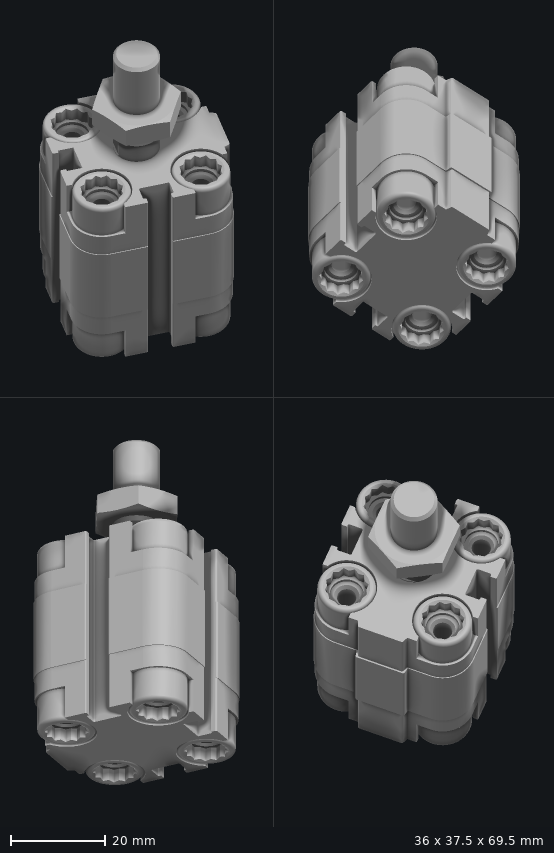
import cadquery as cq
import math

total_height = 69.5
housing_height = 43.0

barrel_half_width = 18.0
cap_inset = 0.2
cap_half_width = barrel_half_width - cap_inset
cap_height = 12.5
screw_spacing = 21.95
screw_offset = screw_spacing / 2

barrel_rib_top = 19.5
barrel_rib_half_width = 5.85
barrel_rib_taper = 0.3
cap_rib_top = 19.2
cap_rib_half_width = 5.6
cap_rib_taper = 0.55
rib_edge_radius = 0.4
rib_root_radius = 0.2

side_slot_mouth_half_width = 2.7
side_slot_half_width = 3.4
front_slot_mouth_half_width = 2.7
front_slot_half_width = 3.35
slot_lip_inner = 16.4
slot_floor = 13.0
side_slot_corner_radius = 0.35
side_mouth_radius = 0.3
front_mouth_radius = 0.4

recess_depth = 7.5
recess_diameter = 13.0
recess_inner_edge = 7.8
screw_diameter = 12.5
screw_edge_radius = 1.0
screw_hole_diameter = 4.1
screw_countersink_diameter = 5.4
socket_flats = 8.1
socket_depth = 3.2
socket_mouth_diameter = 10.0
socket_mouth_angle = 30.0
socket_bore_diameter = 7.2
socket_bore_depth = 3.95

rod_diameter = 10.0
rod_chamfer = 0.7
neck_diameter = 8.5
neck_bottom = 47.5
neck_top = 49.35
wrench_flats = 9.05
wrench_flats_bottom = 43.2

nut_bottom = 51.35
nut_thickness = 5.15
nut_flats = 17.0
nut_face_diameter = 16.7
nut_corner_drop = 0.4


def hexagon_corner_diameter(across_flats):
    return across_flats / math.cos(math.pi / 6)


def revolved(profile):
    """Solid of revolution about Z from (radius, z) points; the axis closes the outline."""
    return cq.Workplane("XZ").polyline(profile).close().revolve(360, (0, 0), (0, 1))


def corner_positions():
    return [(x, y) for x in (-screw_offset, screw_offset) for y in (-screw_offset, screw_offset)]


def rib(half_width, taper, root, top, height):
    """Rib from the housing centre to y = top, tapered beyond y = root, with rounded outer edges."""
    tip_half_width = half_width - taper
    return (
        cq.Workplane("XY")
        .polyline([
            (-half_width, 0), (half_width, 0), (half_width, root),
            (tip_half_width, top), (-tip_half_width, top), (-half_width, root),
        ])
        .close()
        .extrude(height)
        .edges("|Z and >Y").fillet(rib_edge_radius)
    )


def t_slot(angle, mouth_half_width, half_width, corner_radius):
    """Cutter for one T-slot over the full height; at angle 0 it opens towards +X."""
    depth = slot_lip_inner - slot_floor
    chamber = cq.Workplane("XY").rect(depth, 2 * half_width).extrude(housing_height)
    if corner_radius > 0:
        chamber = chamber.edges("|Z").fillet(corner_radius)
    chamber = chamber.translate(((slot_floor + slot_lip_inner) / 2, 0, 0))
    mouth_length = barrel_half_width - slot_floor
    mouth = (
        cq.Workplane("XY")
        .center(slot_floor + mouth_length / 2, 0)
        .rect(mouth_length, 2 * mouth_half_width)
        .extrude(housing_height)
    )
    return chamber.union(mouth).rotate((0, 0, 0), (0, 0, 1), angle)


def rounded_edge(body, x, y, radius):
    """Round the upright edge that stands at (x, y)."""
    reach = 0.1
    box = cq.selectors.BoxSelector((x - reach, y - reach, 0), (x + reach, y + reach, housing_height))
    return body.edges("|Z").edges(box).fillet(radius)


def housing_section(half_width, rib_half_width, rib_taper, rib_top, height):
    """One length of the housing profile with its rib and its three T-slots."""
    body = (
        cq.Workplane("XY")
        .rect(2 * half_width, 2 * half_width)
        .extrude(height)
        .edges("|Z").fillet(half_width - screw_offset)
        .union(rib(rib_half_width, rib_taper, half_width, rib_top, height))
    )
    for angle in (0, 180):
        body = body.cut(
            t_slot(angle, side_slot_mouth_half_width, side_slot_half_width, side_slot_corner_radius)
        )
    body = body.cut(t_slot(-90, front_slot_mouth_half_width, front_slot_half_width, 0))
    for side in (-1, 1):
        for end in (-1, 1):
            body = rounded_edge(body, side * half_width, end * side_slot_mouth_half_width, side_mouth_radius)
        body = rounded_edge(body, side * front_slot_mouth_half_width, -half_width, front_mouth_radius)
        body = rounded_edge(body, side * rib_half_width, half_width, rib_root_radius)
    return body


def screw_recess():
    """Cutter at the top of the +X +Y corner: a round pocket opened out to both sides."""
    bottom = housing_height - recess_depth
    corner_size = barrel_half_width - recess_inner_edge
    corner_middle = recess_inner_edge + corner_size / 2
    pocket = (
        cq.Workplane("XY", origin=(screw_offset, screw_offset, bottom))
        .circle(recess_diameter / 2)
        .extrude(recess_depth)
    )
    corner = (
        cq.Workplane("XY", origin=(corner_middle, corner_middle, bottom))
        .rect(corner_size, corner_size)
        .extrude(recess_depth)
    )
    return pocket.union(corner)


def screw_socket():
    """Cutter for the twelve-point socket, its conical mouth and the stepped bore under it."""
    top = housing_height
    mouth_radius = socket_mouth_diameter / 2
    bore_radius = socket_bore_diameter / 2
    countersink_radius = screw_countersink_diameter / 2
    hole_radius = screw_hole_diameter / 2
    bore_bottom = top - socket_bore_depth
    mouth_tip = top - mouth_radius * math.tan(math.radians(socket_mouth_angle))
    mouth = revolved([(0, top), (mouth_radius, top), (0, mouth_tip)])
    bore = revolved([
        (0, top), (bore_radius, top), (bore_radius, bore_bottom), (countersink_radius, bore_bottom),
        (hole_radius, bore_bottom - countersink_radius + hole_radius),
        (hole_radius, housing_height / 2), (0, housing_height / 2),
    ])
    socket = mouth.union(bore)
    for angle in (0, 30):
        hexagon = (
            cq.Workplane("XY", origin=(0, 0, top - socket_depth))
            .polygon(6, hexagon_corner_diameter(socket_flats))
            .extrude(socket_depth)
            .rotate((0, 0, 0), (0, 0, 1), angle)
        )
        socket = socket.union(hexagon)
    return socket


def screw_head():
    return (
        cq.Workplane("XY", origin=(0, 0, housing_height - recess_depth))
        .circle(screw_diameter / 2)
        .extrude(recess_depth)
        .faces(">Z").edges().fillet(screw_edge_radius)
    )


def with_both_ends(cutter):
    """The shape together with its mirror image at the other end of the housing."""
    return cutter.union(cutter.mirror("XY", (0, 0, housing_height / 2)))


def make_housing():
    barrel_height = housing_height - 2 * cap_height
    cap = housing_section(cap_half_width, cap_rib_half_width, cap_rib_taper, cap_rib_top, cap_height)
    barrel = housing_section(
        barrel_half_width, barrel_rib_half_width, barrel_rib_taper, barrel_rib_top, barrel_height
    )
    body = (
        cap
        .union(barrel.translate((0, 0, cap_height)))
        .union(cap.translate((0, 0, cap_height + barrel_height)))
    )
    recesses = with_both_ends(screw_recess())
    heads = with_both_ends(screw_head())
    sockets = with_both_ends(screw_socket())
    for quarter in range(4):
        body = body.cut(recesses.rotate((0, 0, 0), (0, 0, 1), 90 * quarter))
    for x, y in corner_positions():
        body = body.union(heads.translate((x, y, 0)))
        body = body.cut(sockets.translate((x, y, 0)))
    return body


def make_rod():
    radius = rod_diameter / 2
    neck_radius = neck_diameter / 2
    body = revolved([
        (0, housing_height), (radius, housing_height), (radius, neck_bottom), (neck_radius, neck_bottom),
        (neck_radius, neck_top), (radius, neck_top + radius - neck_radius),
        (radius, total_height - rod_chamfer), (radius - rod_chamfer, total_height), (0, total_height),
    ])
    flat_cut = (rod_diameter - wrench_flats) / 2
    flat_height = neck_bottom - wrench_flats_bottom
    for side in (-1, 1):
        flat = cq.Workplane("XY").box(rod_diameter, flat_cut, flat_height, centered=(True, True, False))
        flat_middle = side * (wrench_flats + flat_cut) / 2
        body = body.cut(flat.translate((0, flat_middle, wrench_flats_bottom)))
    return body


def make_nut():
    corner_radius = hexagon_corner_diameter(nut_flats) / 2
    face_radius = nut_face_diameter / 2
    nut_top = nut_bottom + nut_thickness
    envelope = revolved([
        (0, nut_bottom), (face_radius, nut_bottom), (corner_radius, nut_bottom + nut_corner_drop),
        (corner_radius, nut_top - nut_corner_drop), (face_radius, nut_top), (0, nut_top),
    ])
    return (
        cq.Workplane("XY", origin=(0, 0, nut_bottom))
        .polygon(6, 2 * corner_radius)
        .extrude(nut_thickness)
        .rotate((0, 0, 0), (0, 0, 1), 30)
        .intersect(envelope)
        .cut(cq.Workplane("XY").circle(rod_diameter / 2).extrude(total_height))
    )


housing = make_housing()
rod = make_rod()
nut = make_nut()

result = cq.Compound.makeCompound([housing.solids().val(), rod.solids().val(), nut.solids().val()])